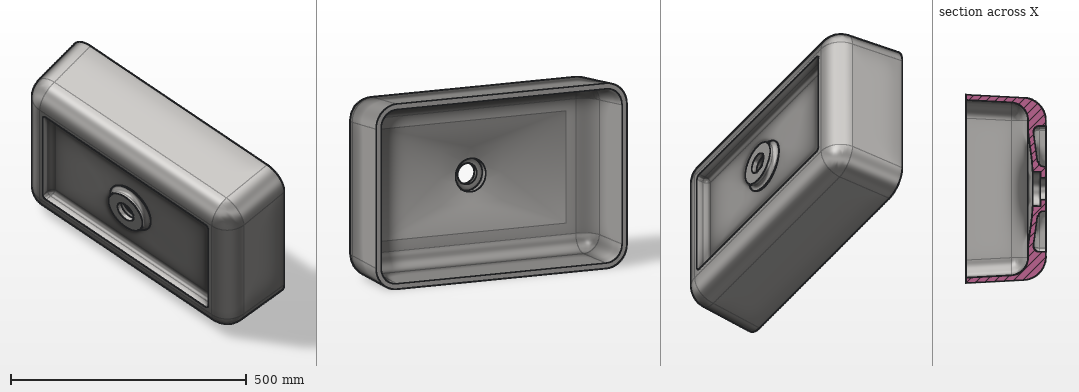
import cadquery as cq

length = 600.0
width = 400.0
height = 170.0
draft = 3.0
corner_radius = 50.0
wall = 12.0

recess_length = 468.5
recess_width = 266.5
recess_depth = 26.5
recess_corner = 8.5
recess_fillet = 12.0
floor_rise = 11.0
crown_divisions = 8
crown_tolerance = 0.001

boss_radius = 48.0
boss_flare = 9.5
drain_radius = 23.0
drain_floor = 12.0

bowl_depth = height - recess_depth - wall
inner_radius = corner_radius - wall
recess_floor_y = recess_depth - height


def tapered_block(block_length, block_width, depth, radius):
    """Block narrowing from Y = 0 towards -Y, rounded on its sides and lower end."""
    block = cq.Workplane("XZ").rect(block_length, block_width).extrude(depth, taper=draft)
    sides = block.edges("not(#Y)").edges("not(|X or |Z)")
    return sides.fillet(radius).faces("<Y").edges().fillet(radius)


def floor_crown(crown_length, crown_width, base_y):
    """Pillow on a rectangular base, rising smoothly towards -Y at its centre."""
    steps = [2 * i / crown_divisions - 1 for i in range(crown_divisions + 1)]
    points = [
        [
            cq.Vector(
                u * crown_length / 2,
                base_y - floor_rise * (1 - u**2) * (1 - v**2),
                v * crown_width / 2,
            )
            for v in steps
        ]
        for u in steps
    ]
    crown = cq.Face.makeSplineApprox(points, tol=crown_tolerance)
    base = cq.Face.makeFromWires(cq.Wire.assembleEdges(crown.outerWire().Edges()))
    return cq.Workplane(cq.Solid.makeSolid(cq.Shell.makeShell([base, crown])).fix())


def drain_cylinder(radius, start, end):
    """Cylinder on the drain axis between two distances below the rim."""
    return cq.Workplane("XZ", origin=(0, -start, 0)).circle(radius).extrude(end - start)


def drain_boss():
    """Round boss whose side flares in a concave arc onto the recess floor."""
    flare_depth = recess_depth - floor_rise
    flare_start = -height + flare_depth - boss_flare
    flare_end = flare_start + boss_flare
    base_radius = boss_radius + boss_flare
    flare_offset = boss_flare * (1 - 0.5**0.5)
    profile = (
        cq.Workplane("XY")
        .moveTo(0, -height)
        .lineTo(boss_radius, -height)
        .lineTo(boss_radius, flare_start)
        .threePointArc((boss_radius + flare_offset, flare_end - flare_offset), (base_radius, flare_end))
        .lineTo(base_radius, recess_floor_y)
        .lineTo(0, recess_floor_y)
        .close()
    )
    return profile.revolve(360, (0, 0, 0), (0, 1, 0))


body = tapered_block(length, width, height, corner_radius)
bowl = tapered_block(length - 2 * wall, width - 2 * wall, bowl_depth, inner_radius)

recess = (
    cq.Workplane("XZ", origin=(0, -height, 0))
    .rect(recess_length, recess_width)
    .extrude(-recess_depth)
    .faces(">Y")
    .edges()
    .fillet(recess_fillet)
    .edges("|Y")
    .fillet(recess_corner)
)

crown_length = recess_length - 2 * recess_fillet
crown_width = recess_width - 2 * recess_fillet
lower_crown = floor_crown(crown_length, crown_width, recess_floor_y)
upper_crown = floor_crown(crown_length, crown_width, -bowl_depth)

sump = drain_cylinder(boss_radius - wall, bowl_depth, height - drain_floor)
outlet = drain_cylinder(drain_radius, bowl_depth, height)

result = body.cut(bowl).cut(recess).union(lower_crown).union(drain_boss())
result = result.cut(upper_crown).cut(sump).cut(outlet)